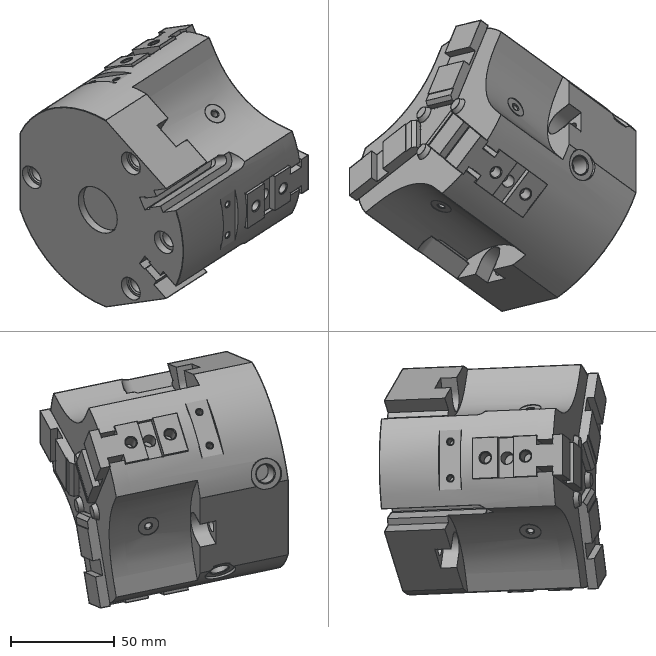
import cadquery as cq
import math


clearance = 1.1

body_radius = 55.0
body_flat = 49.9
front_bevel = 0.2
cover_start = 78.5
body_end = 86.5
jaw_angles = (0, 120, 240)

scoop_radius = 45.8
scoop_floor = 34.8
scoop_flank = 30
scoop_starts = {60: 30.1, 180: 45.1, 300: 30.1}

mount_r = 42.5
mount_radius = 4.12
mount_entry_radius = 4.8
mount_spot_radius = 6.0
mount_spot_depth = 4.0
mount_blind_depth = 15.4
drill_tip_angle = 118
screw_head_radius = 7.0
screw_head_depth = 8.0
centre_recess_radius = 12.5
centre_recess_depth = 4.0

ports = ((150, 10.5), (210, 34.0))
port_spot_radius = 7.64
port_spot_r = 53.3
port_radius = 4.5
port_depth = 11.0
port_bevel = 0.4

slot_angles = (30, -30)
slot_end = 47.2
slot_steps = (
    (45.1, body_radius + clearance, 5.9),
    (36.7, 45.1, 2.58),
    (33.0, 36.7, 3.35),
)

pad_angles = (0, 120)
pad_flat = 53.0
pad_start = 29.6
pad_end = 40.5
pad_hole_offset = 9.0
pad_hole_radius = 1.4
pad_hole_depth = 5.5
small_bevel = 0.4

grease_y = 66.4
grease_spot_radius = 5.22
grease_radius = 1.6
grease_depth = 5.5

stud_r = 15.8
stud_base_radius = 4.3
stud_top_radius = 3.1
stud_height = 2.4

jaw_inner = 10.8
jaw_outer = 55.5
jaw_width = 20.0
jaw_start = 46.6
jaw_end = 91.5
neck_width = 11.0
neck_slot_width = 16.0
step_inner = 16.3
step_depth = 0.4
nose_length = 1.9
nose_height = 1.8
key_start = 32.0
key_width = 8.0
key_depth = 3.6
side_groove_y = 63.0
side_groove_width = 7.9
side_groove_depth = 3.5
jaw_hole_offset = 10.0
jaw_hole_radius = 2.6
jaw_pin_radius = 3.1
jaw_hole_depth = 8.8


def turn(shape, angle):
    """Turn a shape about the gripper axis, from +X towards +Z."""
    return shape.rotate((0, 0, 0), (0, 1, 0), -angle)


def bar(inner, outer, width, start, end):
    """A rectangular bar that points along +X."""
    block = cq.Workplane("XY").box(outer - inner, end - start, width, centered=(False, False, True))
    return block.translate((inner, start, 0))


def axial_cone(r, start, end, start_radius, end_radius):
    """A round body parallel to the gripper axis; the radius may change along it."""
    return cq.Workplane(
        cq.Solid.makeCone(start_radius, end_radius, end - start, cq.Vector(r, start, 0), cq.Vector(0, 1, 0))
    )


def axial_cylinder(r, start, end, radius):
    """A cylinder parallel to the gripper axis."""
    return cq.Workplane("XZ", origin=(r, start, 0)).circle(radius).extrude(start - end)


def radial_cylinder(inner, outer, y, radius, offset=0.0):
    """A cylinder that points along +X, shifted sideways by the offset."""
    return cq.Workplane("YZ", origin=(inner, y, offset)).circle(radius).extrude(outer - inner)


def radial_hole(surface, depth, y, radius, bevel, offset=0.0):
    """A blind hole drilled towards the axis, with a countersunk mouth."""
    mouth = cq.Solid.makeCone(
        radius, radius + bevel, bevel, cq.Vector(surface - bevel, y, offset), cq.Vector(1, 0, 0)
    )
    return radial_cylinder(surface - depth, surface, y, radius, offset).union(cq.Workplane(mouth))


def scoop(start):
    """A concave hollow with straight flanks tangent to its arc."""
    flank = math.radians(scoop_flank)
    centre = scoop_floor + scoop_radius
    tangent_x = centre - scoop_radius * math.cos(flank)
    tangent_z = scoop_radius * math.sin(flank)
    outside_x = body_radius + clearance
    outside_z = tangent_z + (outside_x - tangent_x) / math.tan(flank)
    return (
        cq.Workplane("XZ", origin=(0, start, 0))
        .moveTo(outside_x, outside_z)
        .lineTo(tangent_x, tangent_z)
        .threePointArc((scoop_floor, 0), (tangent_x, -tangent_z))
        .lineTo(outside_x, -outside_z)
        .close()
        .extrude(start - body_end)
    )


def body_blank():
    """Round body with three flats, reaching up to the cover joint."""
    blank = axial_cylinder(0, 0, cover_start, body_radius).faces("<Y").chamfer(front_bevel)
    for angle, start in scoop_starts.items():
        flat = bar(body_flat, body_radius + clearance, 2 * body_radius, -clearance, start)
        blank = blank.cut(turn(flat, angle)).cut(turn(scoop(start), angle))
    return blank


def cover():
    """Cover plate with slots for the jaw necks and a stud between every two jaws."""
    plate = axial_cylinder(0, cover_start, body_end, body_radius)
    stud = axial_cone(stud_r, body_end, body_end + stud_height, stud_base_radius, stud_top_radius)
    for angle, start in scoop_starts.items():
        plate = plate.cut(turn(scoop(start), angle)).union(turn(stud, angle))
    neck_slot = bar(jaw_inner, body_radius + clearance, neck_slot_width, cover_start, body_end)
    for angle in jaw_angles:
        plate = plate.cut(turn(neck_slot, angle))
    return plate


def mounting_spot():
    """Counterbore of a mounting hole."""
    return axial_cylinder(mount_r, 0, mount_spot_depth, mount_spot_radius)


def through_mount(scoop_start):
    """Mounting hole that ends in room for a screw head, open to the outer flat."""
    head_start = scoop_start - screw_head_depth
    entry_bevel = mount_entry_radius - mount_radius
    entry = axial_cone(
        mount_r, mount_spot_depth, mount_spot_depth + entry_bevel, mount_entry_radius, mount_radius
    )
    head_room = axial_cylinder(mount_r, head_start, scoop_start, screw_head_radius)
    head_exit = bar(mount_r, body_radius, 2 * screw_head_radius, head_start, scoop_start)
    hole = axial_cylinder(mount_r, 0, scoop_start, mount_radius)
    return mounting_spot().union(entry).union(hole).union(head_room).union(head_exit)


def blind_mount():
    """Mounting hole with a drill tip."""
    tip_length = mount_radius / math.tan(math.radians(drill_tip_angle / 2))
    tip = axial_cone(mount_r, mount_blind_depth, mount_blind_depth + tip_length, mount_radius, 0)
    hole = axial_cylinder(mount_r, 0, mount_blind_depth, mount_radius)
    return mounting_spot().union(hole).union(tip)


def air_port(y):
    """Port with a round spot face."""
    spot = radial_cylinder(port_spot_r, body_radius + clearance, y, port_spot_radius)
    return spot.union(radial_hole(port_spot_r, port_depth, y, port_radius, port_bevel))


def grease_port():
    """Small hole with a spot face on the floor of a scoop."""
    spot = radial_cylinder(scoop_floor, body_flat, grease_y, grease_spot_radius)
    return spot.union(radial_hole(scoop_floor, grease_depth, grease_y, grease_radius, small_bevel))


def sensor_slot():
    """Undercut slot with round ends."""
    slot = cq.Workplane("XY")
    for inner, outer, half_width in slot_steps:
        slot = slot.union(bar(inner, outer, 2 * half_width, 0, slot_end))
        slot = slot.union(radial_cylinder(inner, outer, slot_end, half_width))
    return slot


def screw_pad():
    """Flat cut right across the round body, with its two screw holes."""
    pad = bar(pad_flat, body_radius + clearance, body_radius, pad_start, pad_end)
    middle = (pad_start + pad_end) / 2
    for side in (-1, 1):
        offset = side * pad_hole_offset
        hole = radial_hole(pad_flat, pad_hole_depth, middle, pad_hole_radius, small_bevel, offset)
        pad = pad.union(hole)
    return pad


def make_housing():
    """Housing and cover as one solid, with all holes, slots and jaw channels."""
    body = body_blank()
    body = body.cut(axial_cylinder(0, 0, centre_recess_depth, centre_recess_radius))
    body = body.cut(blind_mount())
    for angle, start in scoop_starts.items():
        body = body.cut(turn(through_mount(start), angle))
        body = body.cut(turn(grease_port(), angle))
    for angle, y in ports:
        body = body.cut(turn(air_port(y), angle))
    for angle in slot_angles:
        body = body.cut(turn(sensor_slot(), angle))
    for angle in pad_angles:
        body = body.cut(turn(screw_pad(), angle))
    jaw_channel = bar(jaw_inner, body_radius + clearance, jaw_width, jaw_start, cover_start)
    for angle in jaw_angles:
        body = body.cut(turn(jaw_channel, angle))
    return body.union(cover(), clean=False).solids()


def make_jaw(angle):
    """T-shaped jaw: guide in the housing, neck through the cover, gripping plate on top."""
    guide = bar(jaw_inner, jaw_outer, jaw_width, jaw_start, cover_start)
    neck = bar(jaw_inner, jaw_outer, neck_width, cover_start, body_end)
    step_y = jaw_end - step_depth
    plate = (
        cq.Workplane("XY", origin=(0, 0, -jaw_width / 2))
        .moveTo(jaw_inner, body_end)
        .lineTo(jaw_inner, step_y - nose_height)
        .lineTo(jaw_inner + nose_length, step_y)
        .lineTo(step_inner, step_y)
        .lineTo(step_inner, jaw_end)
        .lineTo(jaw_outer, jaw_end)
        .lineTo(jaw_outer, body_end)
        .close()
        .extrude(jaw_width)
    )
    jaw = guide.union(neck).union(plate)
    jaw = jaw.cut(bar(key_start, key_start + key_width, jaw_width, jaw_end - key_depth, jaw_end))

    groove_floor = jaw_outer - side_groove_depth
    groove_start = side_groove_y - side_groove_width / 2
    jaw = jaw.cut(bar(groove_floor, jaw_outer, jaw_width, groove_start, groove_start + side_groove_width))
    pin_hole = radial_cylinder(groove_floor - jaw_hole_depth, groove_floor, side_groove_y, jaw_pin_radius)
    jaw = jaw.cut(pin_hole)
    for side in (-1, 1):
        y = side_groove_y + side * jaw_hole_offset
        jaw = jaw.cut(radial_hole(jaw_outer, jaw_hole_depth, y, jaw_hole_radius, small_bevel))
    return turn(jaw, angle).solids()


housing = make_housing()
jaws = [make_jaw(angle) for angle in jaw_angles]
result = cq.Compound.makeCompound([housing.val(), *[jaw.val() for jaw in jaws]])